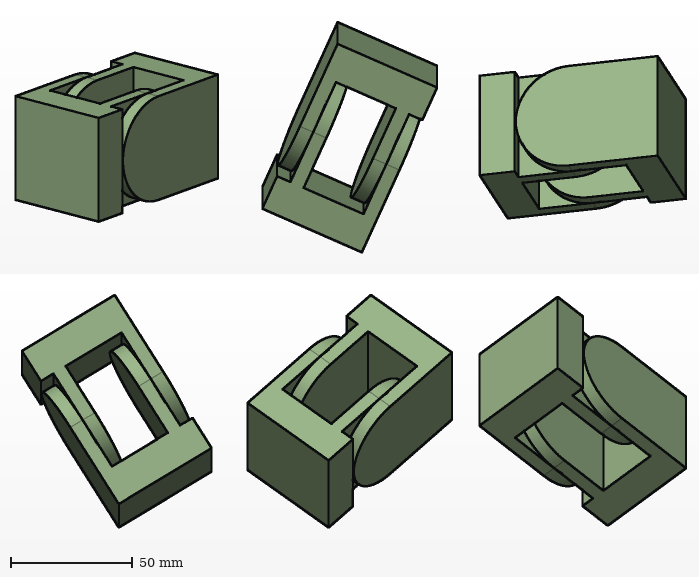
import cadquery as cq

width = 45.0
height = 45.0
length = 76.0
base_thickness = 15.0
arm_thickness = 6.0

half_width = width / 2
half_length = length / 2
arm_radius = height / 2

front_arm_starts = (-half_width, half_width - 2 * arm_thickness)


def arm(x_start):
    """Arm from the front end of the part, with a half-round tip about the hinge axis."""
    return (
        cq.Workplane("YZ", origin=(x_start, 0, 0))
        .moveTo(-half_length, -arm_radius)
        .lineTo(0, -arm_radius)
        .threePointArc((arm_radius, 0), (0, arm_radius))
        .lineTo(-half_length, arm_radius)
        .close()
        .extrude(arm_thickness)
    )


def front_fork():
    """Base block at the -Y end with two arms reaching toward +Y."""
    fork = cq.Workplane("XY").box(width, base_thickness, height)
    fork = fork.translate((0, (base_thickness - length) / 2, 0))
    for x_start in front_arm_starts:
        fork = fork.union(arm(x_start))
    return fork


front = front_fork()
rear = front.rotate((0, 0, 0), (0, 0, 1), 180)
result = front.union(rear)